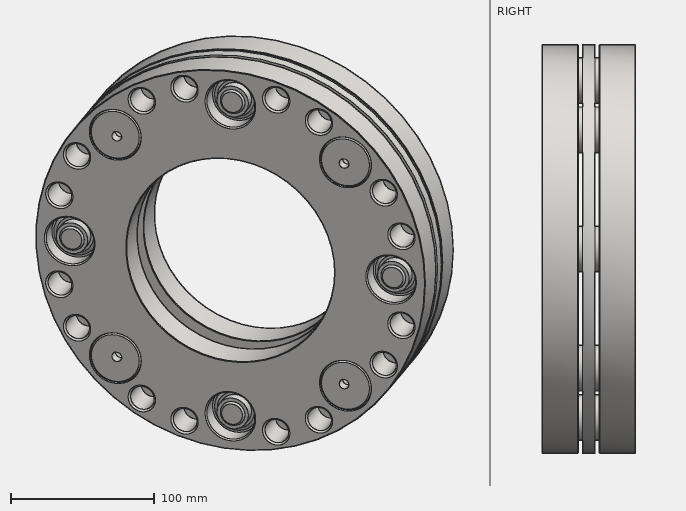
import cadquery as cq
import math

outer_diameter = 285.0
bore_diameter = 152.0
middle_bore_diameter = 180.0
plate_thickness = 25.5
middle_thickness = 8.5
total_depth = 65.5
edge_chamfer = 0.5
gap = (total_depth - 2 * plate_thickness - middle_thickness) / 2
middle_start = plate_thickness + gap
rear_start = middle_start + middle_thickness + gap

bolt_circle_radius = 117.5
spacer_diameter = 32.0
spacer_count = 8
spacer_angles = [360 / spacer_count * i for i in range(spacer_count)]
stud_angles = spacer_angles[0::2]
plug_angles = spacer_angles[1::2]

recess_diameter = 35.0
recess_depth = 14.0
recess_chamfer = 1.0
washer_base_diameter = 32.0
washer_top_diameter = 27.0
washer_height = 1.5
nut_diameter = 23.0
nut_depth = 5.2
stud_diameter = 18.0
stud_tip_diameter = 15.22
stud_depth = 3.8

plug_circle_radius = 119.0
plug_pocket_diameter = 38.0
plug_diameter = 37.0
plug_face_diameter = 35.0
plug_chamfer = (plug_diameter - plug_face_diameter) / 2
plug_hole_diameter = 7.0
plug_hole_depth = 8.0
drill_point_angle = 118.0

hole_circle_radius = 129.5
hole_diameter = 17.29
hole_mouth_diameter = 20.0
hole_chamfer = (hole_mouth_diameter - hole_diameter) / 2
hole_steps = 24
hole_angles = [360 / hole_steps * i for i in range(hole_steps) if i % 3]


def revolve_profile(points):
    """Revolve (radius, depth) points about the Y axis."""
    return cq.Workplane("XY").polyline(points).close().revolve(360, (0, 0, 0), (0, 1, 0))


def cylinder(diameter, start, end):
    radius = diameter / 2
    return revolve_profile([(0, start), (radius, start), (radius, end), (0, end)])


def place(shape, radius, angle):
    """Move an on-axis shape to a polar position on the front face."""
    x = radius * math.cos(math.radians(angle))
    z = radius * math.sin(math.radians(angle))
    return shape.translate((x, 0, z))


def make_ring(inner_diameter, start, thickness):
    end = start + thickness
    return cylinder(outer_diameter, start, end).cut(cylinder(inner_diameter, start, end))


def make_plate(start):
    """One of the two thick end discs, chamfered on all its rims."""
    return make_ring(bore_diameter, start, plate_thickness).edges().chamfer(edge_chamfer)


def make_chamfered_hole(diameter, chamfer, depth):
    radius = diameter / 2
    return revolve_profile([(0, 0), (radius + chamfer, 0), (radius, chamfer), (radius, depth), (0, depth)])


def make_stud():
    washer_top = recess_depth - washer_height
    tip_chamfer = (stud_diameter - stud_tip_diameter) / 2
    return revolve_profile([
        (0, stud_depth),
        (stud_tip_diameter / 2, stud_depth),
        (stud_diameter / 2, stud_depth + tip_chamfer),
        (stud_diameter / 2, nut_depth),
        (nut_diameter / 2, nut_depth),
        (nut_diameter / 2, washer_top),
        (washer_top_diameter / 2, washer_top),
        (washer_base_diameter / 2, recess_depth),
        (0, recess_depth),
    ])


def make_plug_groove():
    """Ring-shaped clearance between a plug's chamfered rim and its pocket."""
    return revolve_profile([
        (plug_face_diameter / 2, 0),
        (plug_pocket_diameter / 2, 0),
        (plug_diameter / 2, plug_chamfer),
    ])


def make_plug_hole():
    radius = plug_hole_diameter / 2
    tip = radius / math.tan(math.radians(drill_point_angle / 2))
    return revolve_profile([(0, 0), (radius, 0), (radius, plug_hole_depth), (0, plug_hole_depth + tip)])


result = make_plate(0)
result = result.union(make_plate(rear_start))
result = result.union(make_ring(middle_bore_diameter, middle_start, middle_thickness))

for angle in spacer_angles:
    spacer = cylinder(spacer_diameter, plate_thickness, rear_start)
    result = result.union(place(spacer, bolt_circle_radius, angle))

for angle in stud_angles:
    recess = make_chamfered_hole(recess_diameter, recess_chamfer, recess_depth)
    result = result.cut(place(recess, bolt_circle_radius, angle))
    result = result.union(place(make_stud(), bolt_circle_radius, angle))

for angle in plug_angles:
    result = result.cut(place(make_plug_groove(), plug_circle_radius, angle))
    result = result.cut(place(make_plug_hole(), bolt_circle_radius, angle))

for angle in hole_angles:
    hole = make_chamfered_hole(hole_diameter, hole_chamfer, plate_thickness)
    result = result.cut(place(hole, hole_circle_radius, angle))

result = result.translate((0, -total_depth / 2, 0))